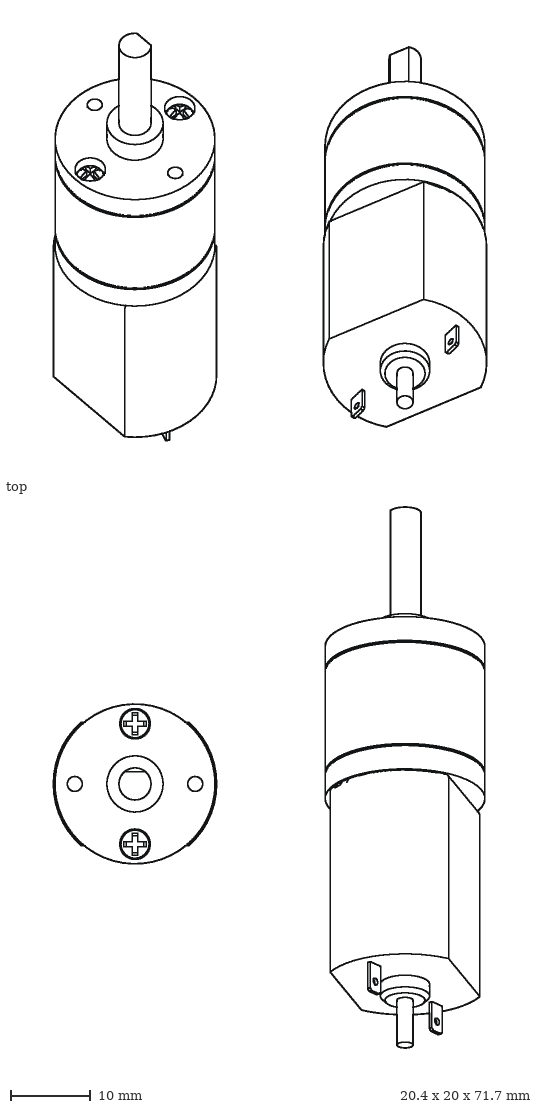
import cadquery as cq
import math

TOTAL_HEIGHT = 71.7
BOSS_TOP_Z = 56.7
GEARBOX_TOP_Z = 53.7
GEARBOX_BASE_Z = 33.2
MOTOR_BASE_Z = 8.2

GEARBOX_DIAMETER = 20.0
FRONT_PLATE_THICKNESS = 3.3
REAR_PLATE_THICKNESS = 3.3
GROOVE_WIDTH = 0.2
GROOVE_DEPTH = 0.15
FRONT_BOSS_DIAMETER = 7.0

SHAFT_DIAMETER = 4.0
SHAFT_FLAT_OFFSET = 1.5
FLAT_CLEARANCE = 0.4

HOLE_CIRCLE_RADIUS = 7.5
MOUNTING_HOLE_DIAMETER = 1.9
MOUNTING_HOLE_DEPTH = 3.0
COUNTERBORE_DIAMETER = 3.8
COUNTERBORE_DEPTH = 1.7
SCREW_HEAD_DIAMETER = 3.5
SCREW_HEAD_HEIGHT = 1.4
SCREW_RIM_HEIGHT = 0.3
CROSS_TOP_LENGTH = 3.7
CROSS_FLOOR_LENGTH = 2.15
CROSS_WIDTH = 0.65
CROSS_DEPTH = 1.0

MOTOR_DIAMETER = 20.4
MOTOR_FLAT_SPACING = 15.5
MOTOR_TOP_FILLET = 0.65

REAR_BOSS_DIAMETER = 6.2
REAR_BOSS_HEIGHT = 2.15
REAR_BOSS_CHAMFER = 0.6
REAR_SHAFT_DIAMETER = 2.0

TERMINAL_WIDTH = 2.1
TERMINAL_THICKNESS = 0.4
TERMINAL_LENGTH = 3.8
TERMINAL_CHAMFER = 0.3
TERMINAL_ANGLE = -22.0
TERMINAL_X = 7.5
TERMINAL_Y = 1.7
TERMINAL_HOLE_DIAMETER = 0.85
TERMINAL_HOLE_HEIGHT = 1.4


def cylinder(diameter, bottom_z, top_z):
    """Upright cylinder on the Z axis."""
    return cq.Workplane("XY").workplane(offset=bottom_z).circle(diameter / 2).extrude(top_z - bottom_z)


def make_gearbox():
    """Round gearbox with a thin groove where each end plate meets the ring."""
    body = cylinder(GEARBOX_DIAMETER, GEARBOX_BASE_Z, GEARBOX_TOP_Z)
    groove_heights = (
        GEARBOX_BASE_Z + REAR_PLATE_THICKNESS,
        GEARBOX_TOP_Z - FRONT_PLATE_THICKNESS,
    )
    for z in groove_heights:
        bottom, top = z - GROOVE_WIDTH / 2, z + GROOVE_WIDTH / 2
        core = cylinder(GEARBOX_DIAMETER - 2 * GROOVE_DEPTH, bottom, top)
        body = body.cut(cylinder(2 * GEARBOX_DIAMETER, bottom, top).cut(core))
    holes = (
        cq.Workplane("XY")
        .workplane(offset=GEARBOX_TOP_Z)
        .pushPoints([(-HOLE_CIRCLE_RADIUS, 0), (HOLE_CIRCLE_RADIUS, 0)])
        .circle(MOUNTING_HOLE_DIAMETER / 2)
        .extrude(-MOUNTING_HOLE_DEPTH)
    )
    counterbores = (
        cq.Workplane("XY")
        .workplane(offset=GEARBOX_TOP_Z)
        .pushPoints([(0, -HOLE_CIRCLE_RADIUS), (0, HOLE_CIRCLE_RADIUS)])
        .circle(COUNTERBORE_DIAMETER / 2)
        .extrude(-COUNTERBORE_DEPTH)
    )
    return body.cut(holes).cut(counterbores)


def make_screw_head():
    """Domed screw head with a cross recess of sloped-end slots, standing on the XY plane."""
    radius = SCREW_HEAD_DIAMETER / 2
    dome_rise = SCREW_HEAD_HEIGHT - SCREW_RIM_HEIGHT
    dome_radius = (radius**2 + dome_rise**2) / (2 * dome_rise)
    half_angle = math.asin(radius / dome_radius) / 2
    arc_middle = (
        dome_radius * math.sin(half_angle),
        SCREW_HEAD_HEIGHT - dome_radius * (1 - math.cos(half_angle)),
    )
    head = (
        cq.Workplane("XZ")
        .lineTo(radius, 0)
        .lineTo(radius, SCREW_RIM_HEIGHT)
        .threePointArc(arc_middle, (0, SCREW_HEAD_HEIGHT))
        .close()
        .revolve(360, (0, 0), (0, 1))
    )
    floor_z = SCREW_HEAD_HEIGHT - CROSS_DEPTH
    slot = (
        cq.Workplane("XZ")
        .moveTo(-CROSS_FLOOR_LENGTH / 2, floor_z)
        .lineTo(CROSS_FLOOR_LENGTH / 2, floor_z)
        .lineTo(CROSS_TOP_LENGTH / 2, SCREW_HEAD_HEIGHT)
        .lineTo(-CROSS_TOP_LENGTH / 2, SCREW_HEAD_HEIGHT)
        .close()
        .extrude(CROSS_WIDTH / 2, both=True)
    )
    return head.cut(slot).cut(slot.rotate((0, 0, 0), (0, 0, 1), 90))


def make_output_shaft():
    """Front boss and output shaft, flattened from just above the boss."""
    boss = cylinder(FRONT_BOSS_DIAMETER, GEARBOX_TOP_Z, BOSS_TOP_Z)
    shaft = cylinder(SHAFT_DIAMETER, BOSS_TOP_Z, TOTAL_HEIGHT)
    flat_cut = (
        cq.Workplane("XY")
        .workplane(offset=BOSS_TOP_Z + FLAT_CLEARANCE)
        .center(0, SHAFT_FLAT_OFFSET + SHAFT_DIAMETER / 2)
        .rect(2 * SHAFT_DIAMETER, SHAFT_DIAMETER)
        .extrude(TOTAL_HEIGHT - BOSS_TOP_Z)
    )
    return boss.union(shaft.cut(flat_cut))


def make_motor():
    """Motor can: a cylinder with two flats and a rounded top edge."""
    between_flats = (
        cq.Workplane("XY")
        .workplane(offset=MOTOR_BASE_Z)
        .rect(2 * MOTOR_DIAMETER, MOTOR_FLAT_SPACING)
        .extrude(GEARBOX_BASE_Z - MOTOR_BASE_Z)
    )
    can = cylinder(MOTOR_DIAMETER, MOTOR_BASE_Z, GEARBOX_BASE_Z).intersect(between_flats)
    return can.faces(">Z").edges().fillet(MOTOR_TOP_FILLET)


def make_rear_shaft():
    """Chamfered bearing boss and thin shaft below the motor."""
    boss = cylinder(REAR_BOSS_DIAMETER, MOTOR_BASE_Z - REAR_BOSS_HEIGHT, MOTOR_BASE_Z)
    boss = boss.faces("<Z").edges().chamfer(REAR_BOSS_CHAMFER)
    return boss.union(cylinder(REAR_SHAFT_DIAMETER, 0, MOTOR_BASE_Z))


def make_terminal():
    """Terminal on the +X side, with clipped tip corners and a wire hole."""
    tip_z = MOTOR_BASE_Z - TERMINAL_LENGTH
    tab = (
        cq.Workplane("XY")
        .workplane(offset=tip_z)
        .rect(TERMINAL_WIDTH, TERMINAL_THICKNESS)
        .extrude(TERMINAL_LENGTH)
        .faces("<Z")
        .edges("|Y")
        .chamfer(TERMINAL_CHAMFER)
    )
    wire_hole = (
        cq.Workplane("XZ")
        .center(0, tip_z + TERMINAL_HOLE_HEIGHT)
        .circle(TERMINAL_HOLE_DIAMETER / 2)
        .extrude(TERMINAL_THICKNESS, both=True)
    )
    return (
        tab.cut(wire_hole)
        .rotate((0, 0, 0), (0, 0, 1), TERMINAL_ANGLE)
        .translate((TERMINAL_X, -TERMINAL_Y, 0))
    )


result = make_gearbox().union(make_output_shaft()).union(make_motor()).union(make_rear_shaft())

screw_head = make_screw_head().translate((0, HOLE_CIRCLE_RADIUS, GEARBOX_TOP_Z - COUNTERBORE_DEPTH))
terminal = make_terminal()
for turn in (0, 180):
    result = result.union(screw_head.rotate((0, 0, 0), (0, 0, 1), turn))
    result = result.union(terminal.rotate((0, 0, 0), (0, 0, 1), turn))